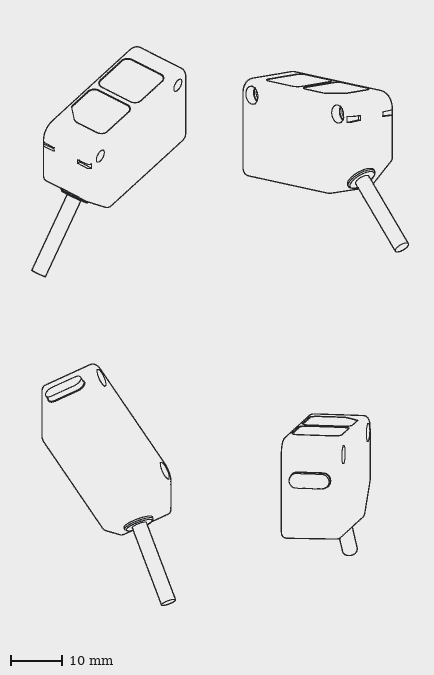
import cadquery as cq
import math

TOTAL_LENGTH = 43.4
TOTAL_HEIGHT = 30.0
BODY_WIDTH = 12.0
BODY_LENGTH = 32.05
BUTTON_REACH = 1.4
CABLE_DROP = TOTAL_LENGTH - BODY_LENGTH - BUTTON_REACH
BODY_HEIGHT = TOTAL_HEIGHT - CABLE_DROP

HALF_WIDTH = BODY_WIDTH / 2
FRONT_DRAFT = 0.5
BOTTOM_TILT = 1.0
TOP_CORNER_RADIUS = 3.3
BOTTOM_CORNER_RADIUS = 1.5
SLOPE_CORNER_RADIUS = 1.1
EDGE_RADIUS = 1.0
CHAMFER_LEG = 6.5

HOLE_INSET = TOP_CORNER_RADIUS
HOLE_DIAMETER = 2.6
SINK_DIAMETER = 3.13
COUNTERBORE_DIAMETER = 3.55
COUNTERBORE_DEPTH = 2.0

WINDOW_SIZE = 10.0
WINDOW_RADIUS = 1.5
WINDOW_DEPTH = 0.1
WINDOW_WALL_RUN = 0.15
WINDOW_CHAMFER = 3.05
WINDOW_PITCH = 11.0
FRONT_WINDOW_Y = (BODY_LENGTH - WINDOW_PITCH) / 2
REAR_WINDOW_Y = (BODY_LENGTH + WINDOW_PITCH) / 2
LENS_DIAMETER = 7.55
LENS_DEPTH = 0.1

NOTCH_WIDTH = 3.1
NOTCH_DEPTH = 0.6
NOTCH_TOP_DROP = 3.45
NOTCH_OUTER_HEIGHT = 1.17
NOTCH_INNER_HEIGHT = 0.9

BUTTON_WIDTH = 8.0
BUTTON_HEIGHT = 2.9
BUTTON_Z = 12.02
PLINTH_MARGIN = 0.1
PLINTH_REACH = 0.17

CABLE_DIAMETER = 3.0
COLLAR_DIAMETER = 6.0
COLLAR_THICKNESS = 0.6
COLLAR_CHAMFER = 0.25


def edges_across_width(y, z):
    reach = 0.45
    return cq.selectors.BoxSelector(
        (-BODY_WIDTH, y - reach, z - reach), (BODY_WIDTH, y + reach, z + reach)
    )


def make_housing():
    draft = HALF_WIDTH * math.tan(math.radians(FRONT_DRAFT))
    tilt_rise = BODY_WIDTH * math.tan(math.radians(BOTTOM_TILT))
    plan = [
        (-HALF_WIDTH, draft),
        (0, 0),
        (HALF_WIDTH, draft),
        (HALF_WIDTH, BODY_LENGTH),
        (-HALF_WIDTH, BODY_LENGTH),
    ]
    body = cq.Workplane("XY").polyline(plan).close().extrude(BODY_HEIGHT)
    wedge = (
        cq.Workplane("XZ")
        .polyline([(-HALF_WIDTH, 0), (HALF_WIDTH, 0), (-HALF_WIDTH, tilt_rise)])
        .close()
        .extrude(-BODY_LENGTH)
    )
    corner = (
        cq.Workplane("YZ")
        .polyline([(0, 0), (CHAMFER_LEG, 0), (0, CHAMFER_LEG)])
        .close()
        .extrude(HALF_WIDTH, both=True)
    )
    body = body.cut(wedge).cut(corner)
    corners = [
        (0, BODY_HEIGHT, TOP_CORNER_RADIUS),
        (BODY_LENGTH, BODY_HEIGHT, TOP_CORNER_RADIUS),
        (BODY_LENGTH, 0, BOTTOM_CORNER_RADIUS),
        (CHAMFER_LEG, 0, BOTTOM_CORNER_RADIUS),
        (0, CHAMFER_LEG, SLOPE_CORNER_RADIUS),
    ]
    for y, z, radius in corners:
        body = body.edges(edges_across_width(y, z)).fillet(radius)
    for side in ("<X", ">X"):
        body = body.faces(side).edges().fillet(EDGE_RADIUS)
    return body


def make_hole_cutters():
    seat_x = COUNTERBORE_DEPTH - HALF_WIDTH
    seat_depth = (SINK_DIAMETER - HOLE_DIAMETER) / 2
    half_profile = [
        (-HALF_WIDTH, 0),
        (-HALF_WIDTH, COUNTERBORE_DIAMETER / 2),
        (seat_x, COUNTERBORE_DIAMETER / 2),
        (seat_x, SINK_DIAMETER / 2),
        (seat_x + seat_depth, HOLE_DIAMETER / 2),
        (HALF_WIDTH, HOLE_DIAMETER / 2),
        (HALF_WIDTH, 0),
    ]
    cutter = cq.Workplane("XY").polyline(half_profile).close().revolve(360, (0, 0), (1, 0))
    z = BODY_HEIGHT - HOLE_INSET
    front = cutter.translate((0, HOLE_INSET, z))
    rear = cutter.translate((0, BODY_LENGTH - HOLE_INSET, z))
    return front.union(rear)


def make_sloped_recess(rear_y, length):
    center_y = rear_y - length / 2
    slope = math.degrees(math.atan2(WINDOW_WALL_RUN, WINDOW_DEPTH))
    return (
        cq.Workplane("XY", origin=(0, center_y, BODY_HEIGHT))
        .sketch()
        .rect(WINDOW_SIZE, length)
        .vertices()
        .fillet(WINDOW_RADIUS)
        .finalize()
        .extrude(-WINDOW_DEPTH, taper=slope)
    )


def make_lens_cutter(center_y):
    lens_radius = LENS_DIAMETER / 2
    sphere_radius = (lens_radius**2 + LENS_DEPTH**2) / (2 * LENS_DEPTH)
    floor_z = BODY_HEIGHT - WINDOW_DEPTH
    dish = (
        cq.Workplane("XZ")
        .moveTo(0, -LENS_DEPTH)
        .radiusArc((lens_radius, 0), -sphere_radius)
        .lineTo(0, 0)
        .close()
        .revolve(360, (0, 0), (0, 1))
    )
    return dish.translate((0, center_y, floor_z))


def make_front_window_cutter(center_y):
    half = WINDOW_SIZE / 2
    outline = (
        cq.Workplane("XY", origin=(0, center_y, BODY_HEIGHT))
        .rect(WINDOW_SIZE, WINDOW_SIZE)
        .extrude(-WINDOW_DEPTH)
        .edges("|Z and <X and <Y")
        .chamfer(WINDOW_CHAMFER)
        .edges("|Z and (not <X or >Y)")
        .fillet(WINDOW_RADIUS)
    )
    recess = make_sloped_recess(center_y + half, WINDOW_SIZE + WINDOW_RADIUS)
    return outline.intersect(recess)


def make_notch_cutters():
    top_z = BODY_HEIGHT - NOTCH_TOP_DROP
    taper = (NOTCH_OUTER_HEIGHT - NOTCH_INNER_HEIGHT) / 2
    inner_x = NOTCH_WIDTH - HALF_WIDTH
    left = (
        cq.Workplane("XZ")
        .polyline([
            (-HALF_WIDTH, top_z),
            (inner_x, top_z - taper),
            (inner_x, top_z - taper - NOTCH_INNER_HEIGHT),
            (-HALF_WIDTH, top_z - NOTCH_OUTER_HEIGHT),
        ])
        .close()
        .extrude(-NOTCH_DEPTH)
    )
    return left.union(left.mirror("YZ"))


def make_button():
    def rounded_bar(margin, reach):
        return (
            cq.Workplane("XZ", origin=(0, BODY_LENGTH - EDGE_RADIUS, BUTTON_Z))
            .slot2D(BUTTON_WIDTH + 2 * margin, BUTTON_HEIGHT + 2 * margin)
            .extrude(-(EDGE_RADIUS + reach))
        )

    return rounded_bar(0, BUTTON_REACH).union(rounded_bar(PLINTH_MARGIN, PLINTH_REACH))


def make_cable():
    slope_middle = CHAMFER_LEG / 2
    axis_end = CABLE_DROP - CABLE_DIAMETER / 2 / math.sqrt(2)
    cable_length = (slope_middle + axis_end) * math.sqrt(2)
    embed = CABLE_DIAMETER / 2
    plane = cq.Plane((0, slope_middle, slope_middle), xDir=(1, 0, 0), normal=(0, -1, -1))
    base = cq.Workplane(plane).workplane(offset=-embed)
    cable = base.circle(CABLE_DIAMETER / 2).extrude(embed + cable_length)
    collar = (
        base.circle(COLLAR_DIAMETER / 2)
        .extrude(embed + COLLAR_THICKNESS)
        .faces("<Z")
        .chamfer(COLLAR_CHAMFER)
    )
    return cable.union(collar)


cutters = [
    make_hole_cutters(),
    make_sloped_recess(REAR_WINDOW_Y + WINDOW_SIZE / 2, WINDOW_SIZE),
    make_lens_cutter(REAR_WINDOW_Y),
    make_front_window_cutter(FRONT_WINDOW_Y),
    make_notch_cutters(),
]

result = make_housing()
for cutter in cutters:
    result = result.cut(cutter)
result = result.union(make_button()).union(make_cable())